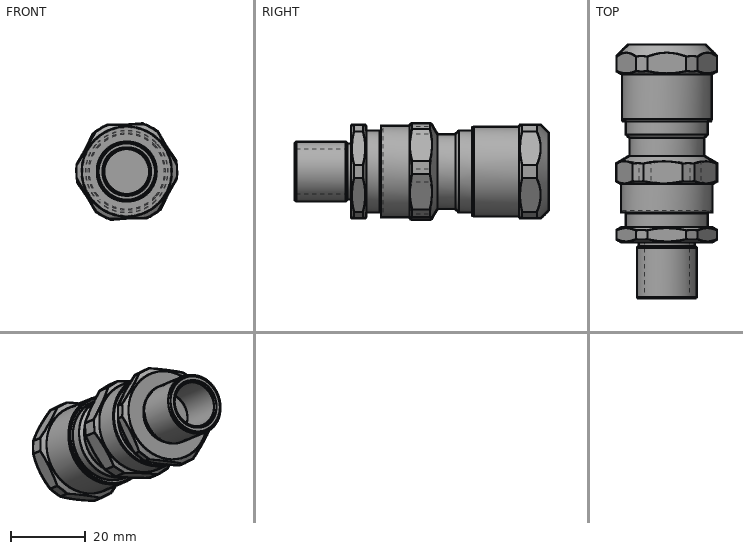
import cadquery as cq
import math

TOTAL_LENGTH = 67.85

SPIGOT_THREAD_END = 13.6
LOCK_NUT_START = 15.0
LOCK_NUT_END = 19.15
COLLAR_START = 23.0
BODY_NUT_START = 30.6
BODY_NUT_END = 38.15
SHOULDER_START = 42.9
SLEEVE_START = 47.3
CAP_NUT_START = 59.85

SPIGOT_DIAMETER = 16.0
RELIEF_DIAMETER = 15.0
BORE_DIAMETER = 12.0
BORE_DEPTH = LOCK_NUT_START
NECK_DIAMETER = 20.0
SHOULDER_DIAMETER = 22.0
COLLAR_DIAMETER = 24.5
SLEEVE_DIAMETER = 24.0
CAP_END_DIAMETER = 20.6

GROOVE_DIAMETER = 22.9
GROOVE_RADIUS = 0.55

SPIGOT_CHAMFER = 0.5
BORE_CHAMFER = 0.5
SLEEVE_CHAMFER_LENGTH = 0.6
SLEEVE_CHAMFER_DEPTH = 0.3
SHOULDER_CHAMFER = (SHOULDER_DIAMETER - NECK_DIAMETER) / 2

ACROSS_FLATS = 25.05
ACROSS_CUT_CORNERS = 26.9
HEX_HALF_ANGLE = 30.0
NUT_CONE_ANGLE = 30.0
CAP_CONE_ANGLE = 45.0
BODY_NUT_TURN = -4.6


def revolve_about_axis(points):
    """Revolve a closed (radius, Y) outline about the Y axis."""
    return cq.Workplane("XY").polyline(points).close().revolve(360, (0, 0, 0), (0, 1, 0))


def hex_prism(start, end, across, turn):
    """Hexagonal prism along Y with flats facing +Z and -Z, turned about Y."""
    corner_diameter = across / math.cos(math.radians(HEX_HALF_ANGLE))
    prism = cq.Workplane("XZ", origin=(0, start, 0)).polygon(6, corner_diameter).extrude(start - end)
    return prism.rotate((0, 0, 0), (0, 1, 0), turn)


def make_nut(start, end, start_diameter, end_diameter, end_angle=NUT_CONE_ANGLE, turn=0.0):
    """Corner-cut hexagon whose two ends are coned down to the given diameters."""
    flats = hex_prism(start, end, ACROSS_FLATS, turn)
    corner_cuts = hex_prism(start, end, ACROSS_CUT_CORNERS, turn + HEX_HALF_ANGLE)
    outer_radius = ACROSS_CUT_CORNERS / 2 / math.cos(math.radians(HEX_HALF_ANGLE))
    start_radius = start_diameter / 2
    end_radius = end_diameter / 2
    start_cone = (outer_radius - start_radius) * math.tan(math.radians(NUT_CONE_ANGLE))
    end_cone = (outer_radius - end_radius) * math.tan(math.radians(end_angle))
    cones = revolve_about_axis([
        (0, start),
        (start_radius, start),
        (outer_radius, start + start_cone),
        (outer_radius, end - end_cone),
        (end_radius, end),
        (0, end),
    ])
    return flats.intersect(corner_cuts).intersect(cones)


def make_turned_core():
    """All the round steps of the gland as one turned profile."""
    spigot = SPIGOT_DIAMETER / 2
    relief = RELIEF_DIAMETER / 2
    neck = NECK_DIAMETER / 2
    shoulder = SHOULDER_DIAMETER / 2
    collar = COLLAR_DIAMETER / 2
    sleeve = SLEEVE_DIAMETER / 2
    return revolve_about_axis([
        (0, 0),
        (spigot - SPIGOT_CHAMFER, 0),
        (spigot, SPIGOT_CHAMFER),
        (spigot, SPIGOT_THREAD_END),
        (relief, SPIGOT_THREAD_END + spigot - relief),
        (relief, LOCK_NUT_START),
        (shoulder, LOCK_NUT_START),
        (shoulder, COLLAR_START),
        (collar, COLLAR_START),
        (collar, BODY_NUT_START),
        (neck, BODY_NUT_START),
        (neck, SHOULDER_START),
        (shoulder, SHOULDER_START + SHOULDER_CHAMFER),
        (shoulder, SLEEVE_START),
        (sleeve - SLEEVE_CHAMFER_DEPTH, SLEEVE_START),
        (sleeve, SLEEVE_START + SLEEVE_CHAMFER_LENGTH),
        (sleeve, CAP_NUT_START),
        (0, CAP_NUT_START),
    ])


def make_bore():
    """Blind bore in the spigot with a chamfered mouth."""
    radius = BORE_DIAMETER / 2
    return revolve_about_axis([
        (0, 0),
        (radius + BORE_CHAMFER, 0),
        (radius, BORE_CHAMFER),
        (radius, BORE_DEPTH),
        (0, BORE_DEPTH),
    ])


def make_collar_groove():
    """Ring of circular section that hollows the collar's face around the shoulder."""
    centre_radius = GROOVE_DIAMETER / 2
    section = cq.Workplane("XY").center(centre_radius, COLLAR_START).circle(GROOVE_RADIUS)
    return section.revolve(360, (-centre_radius, 0, 0), (-centre_radius, 1, 0))


lock_nut = make_nut(LOCK_NUT_START, LOCK_NUT_END, SLEEVE_DIAMETER, SLEEVE_DIAMETER)
body_nut = make_nut(BODY_NUT_START, BODY_NUT_END, COLLAR_DIAMETER, NECK_DIAMETER, turn=BODY_NUT_TURN)
cap_nut = make_nut(CAP_NUT_START, TOTAL_LENGTH, SLEEVE_DIAMETER, CAP_END_DIAMETER, CAP_CONE_ANGLE)

gland = make_turned_core().union(lock_nut).union(body_nut).union(cap_nut)
result = gland.cut(make_bore()).cut(make_collar_groove())